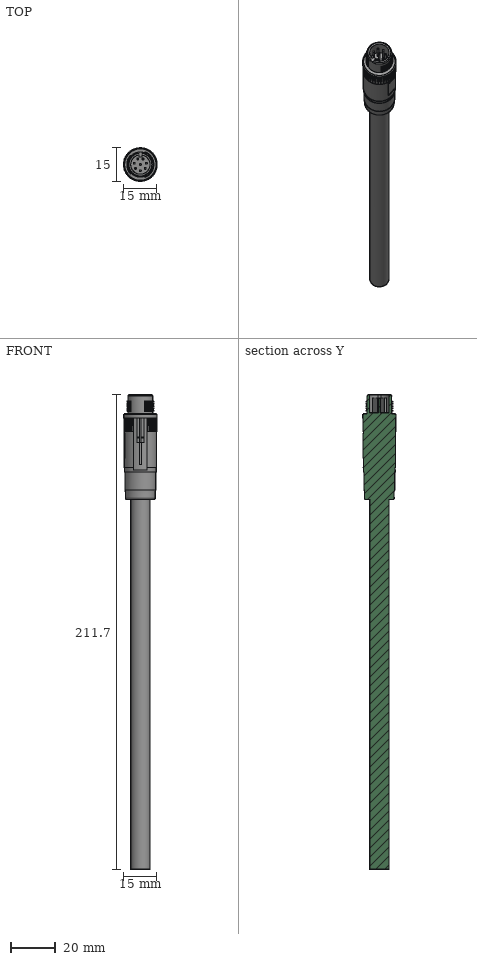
import cadquery as cq

TOTAL_LENGTH = 211.7
CABLE_RADIUS = 4.35

GLAND_BOTTOM = 164.9
GLAND_BOTTOM_RADIUS = 6.7
GLAND_FILLET = 0.8
GLAND_SHOULDER = 169.3
GLAND_LOWER_RADIUS = 6.8
GLAND_UPPER_RADIUS = 6.95

RIM_RADIUS = 7.505
RIM_TOP = 203.3
RIM_BOTTOM = 201.4
RIM_CHAMFER = 0.5
KNURL_RADIUS = 7.35
KNURL_BOTTOM = 195.4
GRIP_RADIUS = 7.25
GRIP_BOTTOM = 179.3
STEP_RADIUS = 7.1
STEP_BOTTOM = 177.2

GROOVE_COUNT = 36
GROOVE_WIDTH = 0.6
GROOVE_DEPTH = 0.4
GROOVE_BOTTOM = 198.0
TAIL_WIDTH = 0.2

PANEL_RADIUS = 7.48
PANEL_WIDTH = 5.9
PANEL_BOTTOM = 178.2

SLOT_WIDTH = 0.9
SLOT_BOTTOM = 180.6
POCKET_WIDTH = 1.25
POCKET_OFFSET = 0.95
POCKET_BOTTOM = 190.4
BRIDGE_BOTTOM = 192.3
BRIDGE_TOP = 192.8
RECESS_DEPTH = 0.5

PAD_FACE = 7.35
PAD_WIDTH = 4.8
PAD_BOTTOM = 183.5
PAD_TOP = 194.3

SLEEVE_RADIUS = 5.6
SLEEVE_BORE_RADIUS = 4.3
SLEEVE_CHAMFER = 0.5
BORE_DEPTH = 8.0
KEY_WIDTH = 1.4
KEY_INNER_RADIUS = 3.3

THREAD_SECTORS = ((180, 43), (0, 70))
THREAD_RADIUS = 6.05
THREAD_PITCH = 1.0
THREAD_CREST = 0.25
THREAD_ROOT = 0.25
RIDGE_COUNT = 5
THREAD_BOTTOM = 204.0

PIN_RADIUS = 0.4
PIN_LENGTH = 6.5
PIN_RING_RADIUS = 2.75
RING_PIN_COUNT = 7
KEY_ANGLE = 90

FRONT_ANGLE = -90


def turned(shape, angle):
    return shape.rotate((0, 0, 0), (0, 0, 1), angle)


def cylinder(radius, bottom, top):
    disc = cq.Workplane("XY").workplane(offset=bottom).circle(radius).extrude(top - bottom)
    return turned(disc, FRONT_ANGLE)


def block(x_range, y_range, z_range):
    sizes = [high - low for low, high in (x_range, y_range, z_range)]
    corner = (x_range[0], y_range[0], z_range[0])
    return cq.Workplane("XY").box(*sizes, centered=False).translate(corner)


def make_cable():
    return cylinder(CABLE_RADIUS, 0, GLAND_BOTTOM)


def make_gland():
    profile = (
        cq.Workplane("XZ")
        .moveTo(0, GLAND_BOTTOM)
        .lineTo(GLAND_BOTTOM_RADIUS, GLAND_BOTTOM)
        .lineTo(GLAND_LOWER_RADIUS, GLAND_SHOULDER)
        .lineTo(0, GLAND_SHOULDER)
        .close()
    )
    lower = turned(profile.revolve(360, (0, 0), (0, 1)), FRONT_ANGLE)
    lower = lower.faces("<Z").edges().fillet(GLAND_FILLET)
    return lower.union(cylinder(GLAND_UPPER_RADIUS, GLAND_SHOULDER, STEP_BOTTOM))


def make_knurl():
    knurl = cylinder(KNURL_RADIUS, KNURL_BOTTOM, RIM_BOTTOM)
    inner = KNURL_RADIUS - GROOVE_DEPTH
    x_range = (inner, KNURL_RADIUS + GROOVE_DEPTH)
    half = GROOVE_WIDTH / 2
    half_tail = TAIL_WIDTH / 2
    groove = block(x_range, (-half, half), (GROOVE_BOTTOM, RIM_BOTTOM))
    groove = groove.union(block(x_range, (-half_tail, half_tail), (KNURL_BOTTOM, RIM_BOTTOM)))
    pitch = 360 / GROOVE_COUNT
    for i in range(GROOVE_COUNT):
        knurl = knurl.cut(turned(groove, FRONT_ANGLE + (i + 0.5) * pitch))
    return knurl


def make_panel():
    half = PANEL_WIDTH / 2
    envelope = block((-half, half), (-PANEL_RADIUS, 0), (PANEL_BOTTOM, RIM_BOTTOM))
    return cylinder(PANEL_RADIUS, PANEL_BOTTOM, RIM_BOTTOM).intersect(envelope)


def front_recess(center_x, width, bottom, top):
    x_range = (center_x - width / 2, center_x + width / 2)
    return block(x_range, (-PANEL_RADIUS, RECESS_DEPTH - PANEL_RADIUS), (bottom, top))


def cut_panel_recesses(grip):
    grip = grip.cut(front_recess(0, SLOT_WIDTH, SLOT_BOTTOM, POCKET_BOTTOM))
    for center_x in (-POCKET_OFFSET, POCKET_OFFSET):
        for bottom, top in ((POCKET_BOTTOM, BRIDGE_BOTTOM), (BRIDGE_TOP, RIM_BOTTOM)):
            grip = grip.cut(front_recess(center_x, POCKET_WIDTH, bottom, top))
    return grip


def make_label_pad():
    half = PAD_WIDTH / 2
    return block((-PAD_FACE, 0), (-half, half), (PAD_BOTTOM, PAD_TOP))


def make_grip():
    rim = cylinder(RIM_RADIUS, RIM_BOTTOM, RIM_TOP).faces(">Z").edges().chamfer(RIM_CHAMFER)
    grip = cylinder(STEP_RADIUS, STEP_BOTTOM, GRIP_BOTTOM)
    grip = grip.union(cylinder(GRIP_RADIUS, GRIP_BOTTOM, KNURL_BOTTOM))
    for piece in (make_knurl(), rim, make_label_pad(), make_panel()):
        grip = grip.union(piece)
    return cut_panel_recesses(grip)


def make_thread_sector(middle_angle, half_angle):
    flank = (THREAD_PITCH - THREAD_CREST - THREAD_ROOT) / 2
    profile = cq.Workplane("XZ").moveTo(SLEEVE_BORE_RADIUS, THREAD_BOTTOM)
    profile = profile.lineTo(SLEEVE_RADIUS, THREAD_BOTTOM)
    for i in range(RIDGE_COUNT):
        base = THREAD_BOTTOM + i * THREAD_PITCH
        profile = profile.lineTo(SLEEVE_RADIUS, base + THREAD_ROOT)
        profile = profile.lineTo(THREAD_RADIUS, base + THREAD_ROOT + flank)
        profile = profile.lineTo(THREAD_RADIUS, base + THREAD_ROOT + flank + THREAD_CREST)
        profile = profile.lineTo(SLEEVE_RADIUS, base + THREAD_PITCH)
    thread_top = THREAD_BOTTOM + RIDGE_COUNT * THREAD_PITCH
    profile = profile.lineTo(SLEEVE_BORE_RADIUS, thread_top).close()
    sector = profile.revolve(2 * half_angle, (0, 0), (0, 1))
    return turned(sector, middle_angle - half_angle)


def make_sleeve():
    sleeve = cylinder(SLEEVE_RADIUS, RIM_TOP, TOTAL_LENGTH).faces(">Z").edges().chamfer(SLEEVE_CHAMFER)
    for middle_angle, half_angle in THREAD_SECTORS:
        sleeve = sleeve.union(make_thread_sector(middle_angle, half_angle))
    return sleeve.cut(cylinder(SLEEVE_BORE_RADIUS, TOTAL_LENGTH - BORE_DEPTH, TOTAL_LENGTH))


def make_key():
    half = KEY_WIDTH / 2
    bar = block((-half, half), (KEY_INNER_RADIUS, SLEEVE_RADIUS), (RIM_TOP, TOTAL_LENGTH))
    return bar.intersect(cylinder(SLEEVE_RADIUS, RIM_TOP, TOTAL_LENGTH))


def make_pins():
    pin_top = TOTAL_LENGTH - BORE_DEPTH + PIN_LENGTH
    half_pitch = 180 / RING_PIN_COUNT
    return (
        cq.Workplane("XY")
        .workplane(offset=RIM_TOP)
        .circle(PIN_RADIUS)
        .polarArray(PIN_RING_RADIUS, KEY_ANGLE + half_pitch, 360, RING_PIN_COUNT)
        .circle(PIN_RADIUS)
        .extrude(pin_top - RIM_TOP)
    )


result = make_cable()
for piece in (make_gland(), make_grip(), make_sleeve(), make_key(), make_pins()):
    result = result.union(piece)